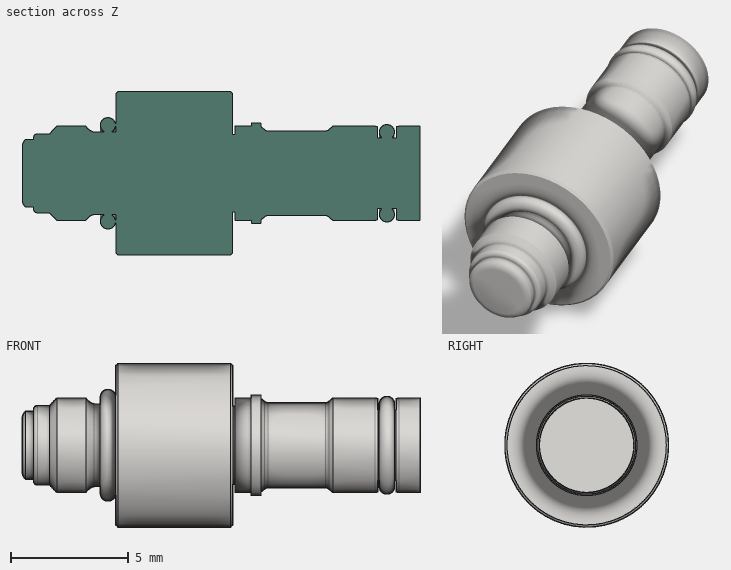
import cadquery as cq

LENGTH = 17.0

NOSE_DIAMETER = 2.9
NOSE_FACE_DIAMETER = 2.31
NOSE_ROUND_LENGTH = 0.15
NOSE_ROUND_RADIUS = 0.37
STEP_START = 0.48
STEP_DIAMETER = 3.4
STEP_ROUND = 0.19

LAND_DIAMETER = 4.05
FRONT_TAPER_START = 1.17
FRONT_LAND_START = 1.48
FRONT_LAND_END = 2.72
FRONT_NECK_START = 3.08
FRONT_NECK_DIAMETER = 3.54
FLANK_FOOT_SAG = 0.05

BODY_DIAMETER = 7.0
BODY_START = 4.0
BODY_LENGTH = 5.0
BODY_CHAMFER = 0.1
BODY_END = BODY_START + BODY_LENGTH

RELIEF_DIAMETER = 3.33
COLLAR_START = 9.08
FLANGE_DIAMETER = 4.3
FLANGE_START = 9.78
FLANGE_END = 10.2

WAIST_DIAMETER = 3.64
WAIST_START = 10.49
WAIST_END = 12.95
ROUND_LENGTH = 0.14
ROUND_RISE = 0.05
ROUND_SAG = 0.014
FOOT_DIAMETER = 4.0

REAR_LAND_START = 13.26
GROOVE_START = 15.18
GROOVE_END = 15.96
GROOVE_DIAMETER = 3.03
LIP_DIAMETER = 4.0
LIP_LENGTH = 0.12

RING_SECTION = 0.66
FRONT_RING_DIAMETER = 4.78
REAR_RING_DIAMETER = 4.18
REAR_RING_CENTRE = (GROOVE_START + GROOVE_END) / 2


def turned_core():
    """Revolve the half outline of the shaft and body about X."""
    nose, step, land = NOSE_DIAMETER / 2, STEP_DIAMETER / 2, LAND_DIAMETER / 2
    neck, body, relief = FRONT_NECK_DIAMETER / 2, BODY_DIAMETER / 2, RELIEF_DIAMETER / 2
    flange, waist, foot = FLANGE_DIAMETER / 2, WAIST_DIAMETER / 2, FOOT_DIAMETER / 2
    groove, lip = GROOVE_DIAMETER / 2, LIP_DIAMETER / 2
    flank_middle = ((FRONT_LAND_END + FRONT_NECK_START) / 2, (land + neck) / 2 - FLANK_FOOT_SAG)
    round_middle = waist + ROUND_RISE / 2 - ROUND_SAG

    outline = (
        cq.Workplane("XY")
        .moveTo(0, 0)
        .lineTo(0, NOSE_FACE_DIAMETER / 2)
        .radiusArc((NOSE_ROUND_LENGTH, nose), NOSE_ROUND_RADIUS)
        .lineTo(STEP_START, nose)
        .lineTo(STEP_START, step - STEP_ROUND)
        .radiusArc((STEP_START + STEP_ROUND, step), STEP_ROUND)
        .lineTo(FRONT_TAPER_START, step)
        .lineTo(FRONT_LAND_START, land)
        .lineTo(FRONT_LAND_END, land)
        .threePointArc(flank_middle, (FRONT_NECK_START, neck))
        .lineTo(BODY_START, neck)
        .lineTo(BODY_START, body - BODY_CHAMFER)
        .lineTo(BODY_START + BODY_CHAMFER, body)
        .lineTo(BODY_END - BODY_CHAMFER, body)
        .lineTo(BODY_END, body - BODY_CHAMFER)
        .lineTo(BODY_END, relief)
        .lineTo(COLLAR_START, relief)
        .lineTo(COLLAR_START, land)
        .lineTo(FLANGE_START, land)
        .lineTo(FLANGE_START, flange)
        .lineTo(FLANGE_END, flange)
        .lineTo(FLANGE_END, foot)
        .lineTo(WAIST_START - ROUND_LENGTH, waist + ROUND_RISE)
        .threePointArc((WAIST_START - ROUND_LENGTH / 2, round_middle), (WAIST_START, waist))
        .lineTo(WAIST_END, waist)
        .threePointArc(
            (WAIST_END + ROUND_LENGTH / 2, round_middle),
            (WAIST_END + ROUND_LENGTH, waist + ROUND_RISE),
        )
        .lineTo(REAR_LAND_START, land)
        .lineTo(GROOVE_START - LIP_LENGTH, land)
        .lineTo(GROOVE_START, lip)
        .lineTo(GROOVE_START, groove)
        .lineTo(GROOVE_END, groove)
        .lineTo(GROOVE_END, lip)
        .lineTo(GROOVE_END + LIP_LENGTH, land)
        .lineTo(LENGTH, land)
        .lineTo(LENGTH, 0)
        .close()
    )
    return outline.revolve(360, (0, 0, 0), (1, 0, 0))


def o_ring(centre_x, outer_diameter):
    """Round-section seal ring around the X axis."""
    centre_radius = (outer_diameter - RING_SECTION) / 2
    section = cq.Workplane("XY").center(centre_x, centre_radius).circle(RING_SECTION / 2)
    return section.revolve(360, (0, -centre_radius, 0), (1, -centre_radius, 0))


front_ring = o_ring(BODY_START - RING_SECTION / 2, FRONT_RING_DIAMETER)
rear_ring = o_ring(REAR_RING_CENTRE, REAR_RING_DIAMETER)
result = turned_core().union(front_ring).union(rear_ring)